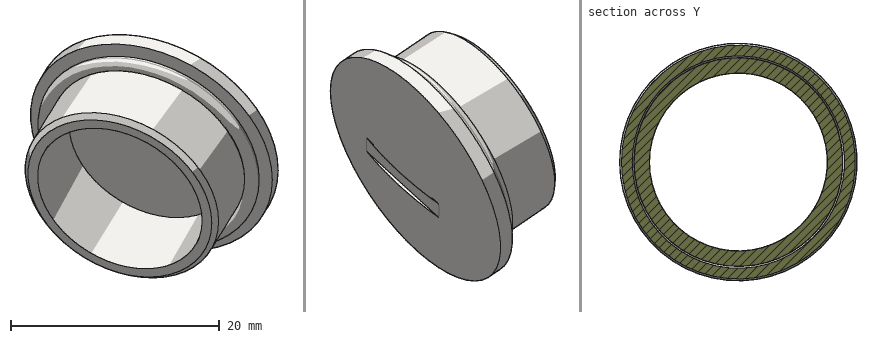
import cadquery as cq

cap_radius = 12.5
cap_thickness = 1.5
dome_height = 1.95

body_radius = 10.0
body_length = 8.0
body_chamfer = 0.5
bore_radius = 8.5
bore_depth = 8.0

ring_tube_radius = 0.7
ring_outer_radius = 11.38
ring_center_radius = ring_outer_radius - ring_tube_radius

slot_width = 2.1
slot_depth = 0.35

open_end = -body_length
cap_top = cap_thickness
dome_top = cap_top + dome_height
dome_radius = (cap_radius**2 + dome_height**2) / (2 * dome_height)


def revolve_about_y(profile):
    return profile.revolve(360, (0, 0, 0), (0, 1, 0))


def make_plug():
    """Chamfered body, flat-edged cap and spherical dome."""
    mid_x = cap_radius / 2
    mid_y = dome_top - dome_radius + (dome_radius**2 - mid_x**2) ** 0.5
    profile = (
        cq.Workplane("XY")
        .moveTo(0, open_end)
        .lineTo(body_radius - body_chamfer, open_end)
        .lineTo(body_radius, open_end + body_chamfer)
        .lineTo(body_radius, 0)
        .lineTo(cap_radius, 0)
        .lineTo(cap_radius, cap_top)
        .threePointArc((mid_x, mid_y), (0, dome_top))
        .close()
    )
    return revolve_about_y(profile)


def make_seal_ring():
    """Round-section ring seated against the body and the cap underside."""
    section = cq.Workplane("XY").center(ring_center_radius, -ring_tube_radius).circle(ring_tube_radius)
    return section.revolve(360, (-ring_center_radius, 0, 0), (-ring_center_radius, 1, 0))


def make_bore():
    """Blind bore from the open end."""
    return cq.Workplane("XZ", origin=(0, open_end, 0)).circle(bore_radius).extrude(-bore_depth)


def make_slot():
    """Straight screwdriver slot across the dome, along X."""
    return cq.Workplane("XY").box(2 * cap_radius, 2 * slot_depth, slot_width).translate((0, dome_top, 0))


result = make_plug().union(make_seal_ring()).cut(make_bore()).cut(make_slot())